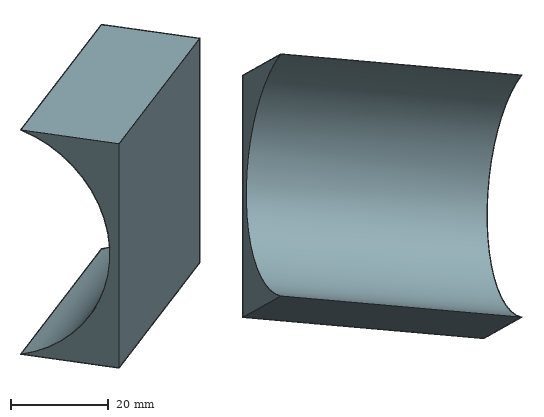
import cadquery as cq

width = 21.2
length = 53.0
height = 50.8
wall = 2.0

half_width = width / 2
half_height = height / 2
saddle_bottom_x = half_width - wall


def saddle_profile():
    """Closed XZ outline: flat top, back and bottom, with a concave arc between two sharp edges."""
    return (
        cq.Workplane("XZ")
        .moveTo(-half_width, half_height)
        .lineTo(half_width, half_height)
        .lineTo(half_width, -half_height)
        .lineTo(-half_width, -half_height)
        .threePointArc((saddle_bottom_x, 0), (-half_width, half_height))
        .close()
    )


result = saddle_profile().extrude(length / 2, both=True)